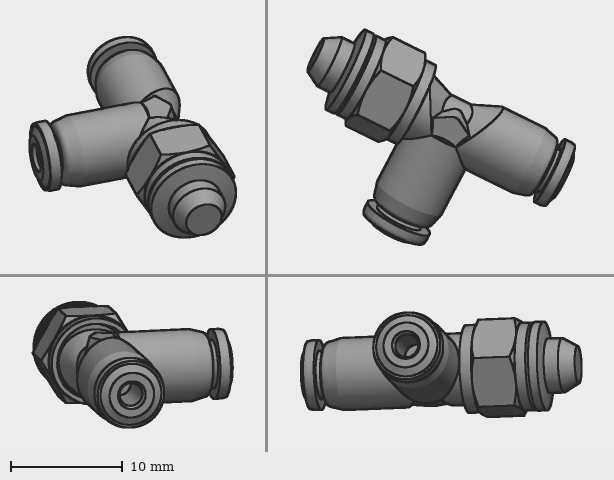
import cadquery as cq
import math

merge_overlap = 0.01

arm_radius = 3.25
port_reach = 11.45
cone_start = 3.47
body_start = 1.9
nose_angle = math.radians(15)
nose_fillet = 0.55

face_radius = 2.05
bevel_radius = 2.8
rim_edge_radius = 3.06
rim_radius = 3.14
bevel_length = 0.38
rim_start = 0.75
rim_end = 1.39
neck_end = 1.74
neck_radius = 1.98
flare_start_radius = 2.2
neck_gap_radius = 1.85
bore_radius = 1.05
bore_depth = 5.0
lead_in_length = 0.38
lead_in_radius = bore_radius + lead_in_length * math.tan(math.radians(30))

corner_offset = 1.22
cut_angle = 61.0
square_cut = 90.0
draft_angle = 50.0
run_taper_length = 2.0
branch_taper_length = 1.5
core_radius = 2.2
core_half_length = 2.0

boss_height = math.sqrt(arm_radius**2 - corner_offset**2)
boss_half_width = 2.2
boss_apex = 1.35
boss_ridge_angle = math.radians(30)
boss_draft = 15.0
boss_nose_radius = 0.8

stud_start = 3.41
collar_radius = 3.95
hex_start = 4.48
hex_end = 8.47
hex_across_flats = 8.0
hex_chamfer_angle = math.radians(30)
collar_end = 9.43
gasket_radius = 4.0
gasket_rim_start = 9.7
gasket_rim_end = 10.5
gasket_end = 10.82
gasket_foot_radius = 2.55
thread_radius = 2.46
tip_start = 12.13
stud_end = 13.5
tip_radius = thread_radius - (stud_end - tip_start) * math.tan(math.radians(30))
socket_radius = 3.45
socket_floor = hex_start


def revolve_about_x(outline):
    return outline.close().revolve(360, (0, 0, 0), (1, 0, 0))


def x_cylinder(start, end, radius):
    return cq.Workplane("YZ", origin=(start, 0, 0)).circle(radius).extrude(end - start)


def tapered_arm_end(axis_offset, angle, length):
    """Drafted block that continues an arm beyond its cut plane."""
    tilt = math.radians(angle)
    normal = (math.sin(tilt), math.cos(tilt), 0)
    across = (-math.cos(tilt), math.sin(tilt), 0)
    plane = cq.Plane(origin=(-axis_offset, 0, 0), xDir=across, normal=normal)
    section = cq.Workplane(plane).ellipse(arm_radius / math.sin(tilt), arm_radius)
    return section.extrude(length, taper=draft_angle)


def cut_away_beyond(arm, axis_offset, angle):
    """Trim an arm along -X with an upright plane crossing its axis at the given angle."""
    size = 4 * arm_radius
    block = cq.Workplane("XY").box(size, 2 * size, size, centered=(False, True, True))
    block = block.rotate((0, 0, 0), (0, 0, 1), 90 - angle).translate((-axis_offset, 0, 0))
    return arm.cut(block)


def finished_arm(arm, axis_offset, angle, length):
    trimmed = cut_away_beyond(arm, axis_offset, angle)
    return trimmed.union(tapered_arm_end(axis_offset, angle, length))


def port_arm():
    """Full arm along -X: tapered nose, release collar and tube bore."""
    nose_radius = arm_radius - (cone_start - body_start) * math.tan(nose_angle)
    body = revolve_about_x(
        cq.Workplane("XY")
        .moveTo(body_start, 0)
        .lineTo(body_start, nose_radius)
        .lineTo(cone_start, arm_radius)
        .lineTo(port_reach, arm_radius)
        .lineTo(port_reach, 0)
    )
    body = body.faces("<X").edges().fillet(nose_fillet)
    flare_length = neck_end - rim_end
    flare_rise = flare_start_radius - neck_radius
    flare_radius = (flare_length**2 + flare_rise**2) / (2 * flare_rise)
    collar = revolve_about_x(
        cq.Workplane("XY")
        .lineTo(0, face_radius)
        .lineTo(bevel_length, bevel_radius)
        .lineTo(bevel_length, rim_edge_radius)
        .lineTo(rim_start, rim_radius)
        .lineTo(rim_end, rim_radius)
        .lineTo(rim_end, flare_start_radius)
        .radiusArc((neck_end, neck_radius), -flare_radius)
        .lineTo(neck_end, neck_gap_radius)
        .lineTo(body_start + merge_overlap, neck_gap_radius)
        .lineTo(body_start + merge_overlap, 0)
    )
    bore = revolve_about_x(
        cq.Workplane("XY")
        .lineTo(0, lead_in_radius)
        .lineTo(lead_in_length, bore_radius)
        .lineTo(bore_depth, bore_radius)
        .lineTo(bore_depth, 0)
    )
    return body.union(collar).cut(bore).translate((-port_reach, 0, 0))


def centre_boss():
    """Pentagonal boss with drafted sides, the same above and below the arms' plane."""
    side_y = boss_apex - boss_half_width * math.tan(boss_ridge_angle)
    tangent_x = boss_nose_radius * math.sin(boss_ridge_angle)
    tangent_y = boss_apex - tangent_x * math.tan(boss_ridge_angle)
    nose_y = boss_apex - boss_nose_radius * (1 / math.cos(boss_ridge_angle) - 1)
    upper = (
        cq.Workplane("XY", origin=(0, 0, boss_height))
        .moveTo(-corner_offset, -corner_offset)
        .lineTo(corner_offset, -corner_offset)
        .lineTo(boss_half_width, side_y)
        .lineTo(tangent_x, tangent_y)
        .threePointArc((0, nose_y), (-tangent_x, tangent_y))
        .lineTo(-boss_half_width, side_y)
        .close()
        .extrude(-boss_height, taper=-boss_draft)
    )
    return upper.union(upper.mirror("XY"))


def tee_body():
    run_offset = corner_offset + corner_offset / math.tan(math.radians(cut_angle))
    run_cut = (run_offset, cut_angle, run_taper_length)
    inlet = finished_arm(port_arm(), *run_cut)
    outlet = finished_arm(x_cylinder(-socket_floor, 0, arm_radius), *run_cut).mirror("YZ")
    branch = finished_arm(port_arm(), corner_offset, square_cut, branch_taper_length)
    branch = branch.rotate((0, 0, 0), (0, 0, 1), 90)
    core = x_cylinder(-core_half_length, core_half_length, core_radius)
    return core.union(branch).union(inlet).union(outlet).union(centre_boss())


def chamfered_hex():
    corner_radius = hex_across_flats / math.sqrt(3)
    flat_radius = hex_across_flats / 2
    chamfer = (corner_radius - flat_radius) * math.tan(hex_chamfer_angle)
    prism = (
        cq.Workplane("YZ", origin=(hex_start, 0, 0))
        .polygon(6, 2 * corner_radius)
        .extrude(hex_end - hex_start)
    )
    envelope = revolve_about_x(
        cq.Workplane("XY")
        .moveTo(hex_start, 0)
        .lineTo(hex_start, flat_radius)
        .lineTo(hex_start + chamfer, corner_radius)
        .lineTo(hex_end - chamfer, corner_radius)
        .lineTo(hex_end, flat_radius)
        .lineTo(hex_end, 0)
    )
    return prism.intersect(envelope)


def stud_body():
    """Hexagon with round collars, sealing disc and threaded tip, socketed for the tee."""
    turned = revolve_about_x(
        cq.Workplane("XY")
        .moveTo(stud_start, 0)
        .lineTo(stud_start, collar_radius)
        .lineTo(collar_end, collar_radius)
        .lineTo(collar_end, gasket_foot_radius)
        .lineTo(gasket_rim_start, gasket_radius)
        .lineTo(gasket_rim_end, gasket_radius)
        .lineTo(gasket_end, gasket_foot_radius)
        .lineTo(gasket_end, thread_radius)
        .lineTo(tip_start, thread_radius)
        .lineTo(stud_end, tip_radius)
        .lineTo(stud_end, 0)
    )
    socket = x_cylinder(stud_start, socket_floor, socket_radius)
    return turned.union(chamfered_hex()).cut(socket)


tee = tee_body()
stud = stud_body()

result = cq.Compound.makeCompound([tee.val(), stud.val()])